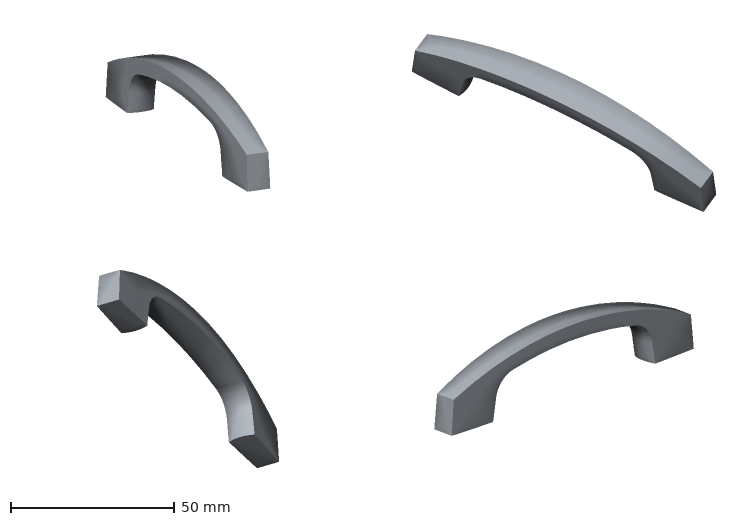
import cadquery as cq

length = 104.0
height = 23.0
mid_width = 10.0
shoulder_half_length = 51.0
shoulder_height = 11.5

end_width_bottom = 7.7
end_width_top = 6.7

opening_half_length = 34.0
opening_corner_half_length = 31.8
opening_corner_height = 12.8
opening_height = 16.8
opening_corner_radius = 8.3
inner_crown_rise = 1.0

lining_depth = 2.1
opening_clearance = 1.6
overshoot = 2.1

half_length = length / 2
foot_slope = (opening_half_length - opening_corner_half_length) / opening_corner_height
path_start_half_length = opening_half_length + overshoot * foot_slope


def side_outline(z, end_width):
    """Lens-like plan outline at height z, bounded by a bowed arc on each long side."""
    half_end = end_width / 2
    half_mid = mid_width / 2
    return (
        cq.Workplane("XY", origin=(0, 0, z))
        .moveTo(-half_length, -half_end)
        .threePointArc((0, -half_mid), (half_length, -half_end))
        .lineTo(half_length, half_end)
        .threePointArc((0, half_mid), (-half_length, half_end))
        .close()
        .val()
    )


def make_side_envelope():
    """Solid between the two bowed, leaning sides."""
    outlines = [side_outline(0, end_width_bottom), side_outline(height, end_width_top)]
    return cq.Workplane(cq.Solid.makeLoft(outlines, True))


def make_bow_block():
    """Solid under the arched top, between the sloping end faces."""
    return (
        cq.Workplane("XZ")
        .moveTo(-half_length, 0)
        .lineTo(-shoulder_half_length, shoulder_height)
        .threePointArc((0, height), (shoulder_half_length, shoulder_height))
        .lineTo(half_length, 0)
        .close()
        .extrude(mid_width / 2, both=True)
    )


def make_opening_path():
    """Crown line of the inner face: two legs joined to an arch by rounded corners."""
    sharp_path = (
        cq.Workplane("XZ")
        .moveTo(-path_start_half_length, -overshoot)
        .lineTo(-opening_corner_half_length, opening_corner_height)
        .threePointArc((0, opening_height), (opening_corner_half_length, opening_corner_height))
        .lineTo(path_start_half_length, -overshoot)
        .wire()
        .val()
    )
    return sharp_path.fillet(opening_corner_radius)


def make_opening(path):
    """Through opening, enlarged to leave room for the rounded lining."""
    closing_edge = cq.Edge.makeLine(path.endPoint(), path.startPoint())
    outline = cq.Wire.assembleEdges(path.Edges() + [closing_edge])
    return (
        cq.Workplane("XZ")
        .add(outline)
        .toPending()
        .offset2D(opening_clearance)
        .extrude(mid_width / 2, both=True)
    )


def make_lining(path):
    """Strip along the opening whose exposed face is crowned across the width."""
    half_width = mid_width / 2
    section_plane = cq.Plane(
        origin=path.startPoint().toTuple(), xDir=(0, 1, 0), normal=path.tangentAt(0).toTuple()
    )
    return (
        cq.Workplane(section_plane)
        .moveTo(-half_width, inner_crown_rise)
        .threePointArc((0, 0), (half_width, inner_crown_rise))
        .lineTo(half_width, lining_depth)
        .lineTo(-half_width, lining_depth)
        .close()
        .sweep(cq.Workplane(path))
    )


opening_path = make_opening_path()
bow = make_bow_block().cut(make_opening(opening_path)).union(make_lining(opening_path))
result = bow.intersect(make_side_envelope())